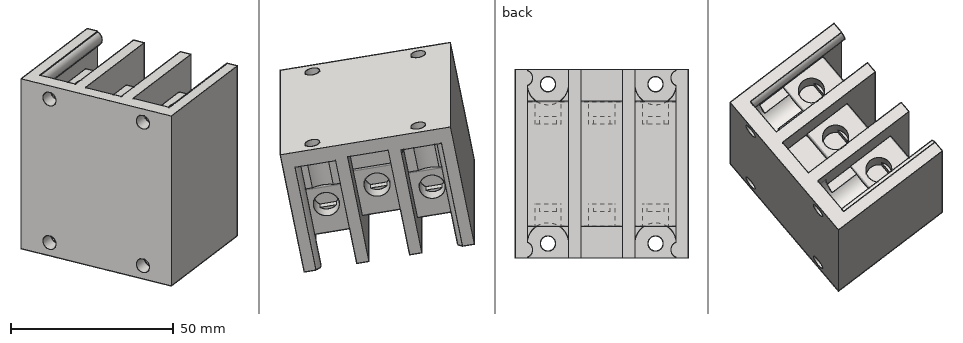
import cadquery as cq
import math

WIDTH = 53.35
DEPTH = 41.1
HEIGHT = 58.15

CHANNEL_PITCH = 16.6
CHANNEL_WIDTH = 12.75
MIDDLE_PLATE = 4.4
SIDE_PLATE = 8.25
LEDGE_Z = 19.1

SCREW_Z = 24.55
SCREW_DIAMETER = 4.6
SCREW_SEAT_Y = 5.05
HEAD_CLEARANCE = CHANNEL_WIDTH

BEAD_RADIUS = 2.5
BEAD_PROTRUSION = 1.6
BEAD_Z = 26.45

TERMINAL_LENGTH = 15.95
TERMINAL_PROUD = 0.25
TERMINAL_ROUNDING = 0.25
SIDE_TERMINAL_Y = 17.9
MIDDLE_TERMINAL_Y = 14.15
MIDDLE_GAP = 0.3
WIRE_DIAMETER = 8.0
WIRE_SETBACK = 6.15
WIRE_DEPTH = 7.0
STEP_OFFSET = 3.1
STEP_DEPTH = 4.65

TERMINAL_Z = LEDGE_Z + TERMINAL_PROUD
SIGNS = (-1, 1)


def box(x_center, width, y_start, y_end, z_start, z_end):
    """Block centred on x_center, between the given Y and Z limits."""
    return (
        cq.Workplane("XY")
        .box(width, y_end - y_start, z_end - z_start, centered=(True, False, False))
        .translate((x_center, y_start, z_start))
    )


def y_cylinder(x_center, z_center, diameter, y_start, y_end):
    """Cylinder along Y between y_start and y_end."""
    axis_start = cq.Vector(x_center, y_start, z_center)
    solid = cq.Solid.makeCylinder(diameter / 2, y_end - y_start, axis_start, cq.Vector(0, 1, 0))
    return cq.Workplane(solid)


def end_pocket(x_center, plate, core_end, end):
    """Open space of a channel beyond the core, at the top (end = 1) or bottom (end = -1)."""
    pocket = box(x_center, CHANNEL_WIDTH, plate, DEPTH, LEDGE_Z, HEIGHT / 2)
    rear = box(x_center, CHANNEL_WIDTH, core_end, DEPTH, 0, HEIGHT / 2)
    pocket = pocket.union(rear)
    return pocket if end > 0 else pocket.mirror("XY")


def screw_cut(x_center, core_end, end):
    """Screw hole with a round-bottomed head clearance that opens at the housing end."""
    hole = y_cylinder(x_center, SCREW_Z, SCREW_DIAMETER, 0, DEPTH)
    round_bottom = y_cylinder(x_center, SCREW_Z, HEAD_CLEARANCE, SCREW_SEAT_Y, core_end)
    opening = box(x_center, HEAD_CLEARANCE, SCREW_SEAT_Y, core_end, SCREW_Z, HEIGHT / 2)
    cut = hole.union(round_bottom).union(opening)
    return cut if end > 0 else cut.mirror("XY")


def bead(side, end):
    """Part-round bead on the inside of an outer wall."""
    wall_x = side * (CHANNEL_PITCH + CHANNEL_WIDTH / 2)
    tip_x = wall_x - side * BEAD_PROTRUSION
    z_center = end * BEAD_Z
    half_chord = math.sqrt(BEAD_RADIUS**2 - (BEAD_RADIUS - BEAD_PROTRUSION) ** 2)
    return (
        cq.Workplane("XZ", origin=(0, SCREW_SEAT_Y, 0))
        .moveTo(wall_x, z_center - half_chord)
        .threePointArc((tip_x, z_center), (wall_x, z_center + half_chord))
        .close()
        .extrude(SCREW_SEAT_Y - DEPTH)
    )


def make_housing():
    housing = box(0, WIDTH, 0, DEPTH, -HEIGHT / 2, HEIGHT / 2)
    for end in SIGNS:
        housing = housing.cut(end_pocket(0, MIDDLE_PLATE, MIDDLE_TERMINAL_Y - MIDDLE_GAP, end))
        for side in SIGNS:
            x_center = side * CHANNEL_PITCH
            housing = housing.cut(end_pocket(x_center, SIDE_PLATE, SIDE_TERMINAL_Y, end))
            housing = housing.cut(screw_cut(x_center, SIDE_TERMINAL_Y, end))
            housing = housing.union(bead(side, end))
    return housing


def wire_hole(end):
    """Blind wire hole with a stepped floor, for a terminal whose front face is on Y = 0."""
    hole = (
        cq.Workplane("XY", origin=(0, WIRE_SETBACK, TERMINAL_Z - WIRE_DEPTH))
        .circle(WIRE_DIAMETER / 2)
        .extrude(WIRE_DEPTH)
    )
    step = box(
        0, WIRE_DIAMETER,
        WIRE_SETBACK + STEP_OFFSET, TERMINAL_LENGTH,
        TERMINAL_Z - WIRE_DEPTH, TERMINAL_Z - STEP_DEPTH,
    )
    hole = hole.cut(step)
    return hole if end > 0 else hole.mirror("XY")


def make_terminal(x_center, y_front):
    """Conductor bar that spans the channel, with a wire hole in each end."""
    terminal = box(0, CHANNEL_WIDTH, 0, TERMINAL_LENGTH, -TERMINAL_Z, TERMINAL_Z)
    terminal = terminal.faces("|Z").edges("|X").fillet(TERMINAL_ROUNDING)
    for end in SIGNS:
        terminal = terminal.cut(wire_hole(end))
    return terminal.translate((x_center, y_front, 0))


housing = make_housing()
terminal_places = [
    (-CHANNEL_PITCH, SIDE_TERMINAL_Y),
    (0, MIDDLE_TERMINAL_Y),
    (CHANNEL_PITCH, SIDE_TERMINAL_Y),
]
terminals = [make_terminal(x_center, y_front) for x_center, y_front in terminal_places]

result = cq.Compound.makeCompound([housing.val(), *[terminal.val() for terminal in terminals]])